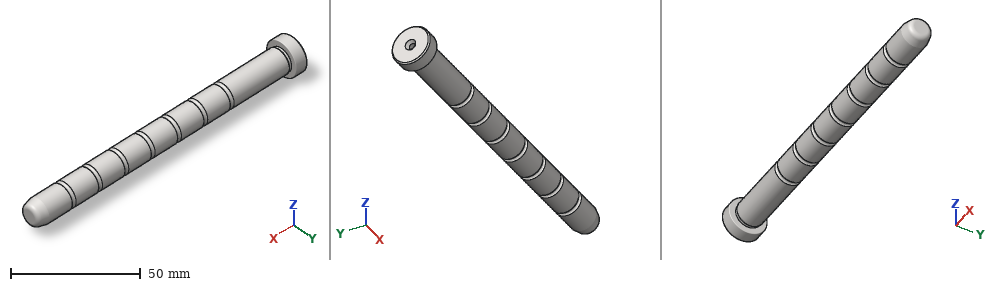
import cadquery as cq
import math

LENGTH = 140.0
HEAD_RADIUS = 17.0 / 2
HEAD_LENGTH = 6.0
HEAD_FRONT_CHAMFER = 0.5
HEAD_REAR_FILLET = 0.3
SHAFT_RADIUS = 12.0 / 2

NECK_DEPTH = 0.35
NECK_RADIUS = SHAFT_RADIUS - NECK_DEPTH
NECK_END = 7.1
NECK_TAPER_LENGTH = 0.4

GROOVE_COUNT = 7
GROOVE_FIRST_CENTER = 38.0
GROOVE_PITCH = 14.0
GROOVE_WIDTH = 2.0
GROOVE_DEPTH = 0.7

NOSE_LENGTH = 5.0
NOSE_TAPER_ANGLE = 14.0
TIP_FILLET = 2.1

CENTER_MOUTH_RADIUS = 4.6 / 2
CENTER_BORE_RADIUS = 1.4
CENTER_MOUTH_ANGLE = 60.0
CENTER_BORE_LENGTH = 2.1
DRILL_POINT_ANGLE = 118.0


def cone_depth(radius_change, included_angle):
    """Axial length over which a cone changes radius by radius_change."""
    return radius_change / math.tan(math.radians(included_angle / 2))


def make_head():
    head = cq.Workplane("YZ").circle(HEAD_RADIUS).extrude(HEAD_LENGTH)
    head = head.faces("<X").edges().chamfer(HEAD_FRONT_CHAMFER)
    return head.faces(">X").edges().fillet(HEAD_REAR_FILLET)


def make_shaft():
    """Neck, straight shaft and tapered nose turned from one profile."""
    nose_start = LENGTH - NOSE_LENGTH
    tip_radius = SHAFT_RADIUS - NOSE_LENGTH * math.tan(math.radians(NOSE_TAPER_ANGLE))
    shaft = (
        cq.Workplane("XY")
        .moveTo(HEAD_LENGTH / 2, 0)
        .lineTo(HEAD_LENGTH / 2, NECK_RADIUS)
        .lineTo(NECK_END, NECK_RADIUS)
        .lineTo(NECK_END + NECK_TAPER_LENGTH, SHAFT_RADIUS)
        .lineTo(nose_start, SHAFT_RADIUS)
        .lineTo(LENGTH, tip_radius)
        .lineTo(LENGTH, 0)
        .close()
        .revolve(360, (0, 0, 0), (1, 0, 0))
    )
    return shaft.faces(">X").edges().fillet(TIP_FILLET)


def make_groove(center_x):
    half_width = GROOVE_WIDTH / 2
    outside = SHAFT_RADIUS + GROOVE_DEPTH
    return (
        cq.Workplane("XY")
        .moveTo(center_x - half_width, outside)
        .lineTo(center_x - half_width, SHAFT_RADIUS)
        .threePointArc((center_x, SHAFT_RADIUS - GROOVE_DEPTH), (center_x + half_width, SHAFT_RADIUS))
        .lineTo(center_x + half_width, outside)
        .close()
        .revolve(360, (0, 0, 0), (1, 0, 0))
    )


def make_center_hole():
    """Drill volume entering the head face along +X."""
    mouth_depth = cone_depth(CENTER_MOUTH_RADIUS - CENTER_BORE_RADIUS, CENTER_MOUTH_ANGLE)
    bore_end = mouth_depth + CENTER_BORE_LENGTH
    point_end = bore_end + cone_depth(CENTER_BORE_RADIUS, DRILL_POINT_ANGLE)
    return (
        cq.Workplane("XY")
        .moveTo(0, 0)
        .lineTo(0, CENTER_MOUTH_RADIUS)
        .lineTo(mouth_depth, CENTER_BORE_RADIUS)
        .lineTo(bore_end, CENTER_BORE_RADIUS)
        .lineTo(point_end, 0)
        .close()
        .revolve(360, (0, 0, 0), (1, 0, 0))
    )


result = make_head().union(make_shaft())

for index in range(GROOVE_COUNT):
    result = result.cut(make_groove(GROOVE_FIRST_CENTER + index * GROOVE_PITCH))

result = result.cut(make_center_hole())